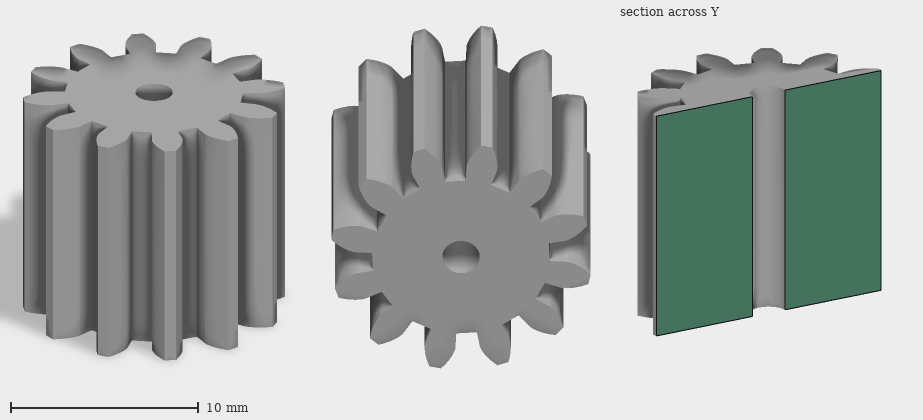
import cadquery as cq
import math

tooth_count = 12
pressure_angle = math.radians(20)
overall_width = 13.99
face_width = 12.5
bore_diameter = 2.0
addendum_factor = 1.0
dedendum_factor = 1.25
flank_segments = 8


def involute(angle):
    """Polar angle swept by an involute from its base circle up to a pressure angle."""
    return math.tan(angle) - angle


def polar_point(radius, angle):
    """Point at a given radius and angle from the +X axis."""
    return (radius * math.cos(angle), radius * math.sin(angle))


base_to_pitch = math.cos(pressure_angle)
tip_to_pitch = 1 + 2 * addendum_factor / tooth_count
tip_pressure_angle = math.acos(base_to_pitch / tip_to_pitch)
base_half_angle = math.pi / (2 * tooth_count) + involute(pressure_angle)
tip_half_angle = base_half_angle - involute(tip_pressure_angle)

tip_radius = overall_width / 2 / math.cos(tip_half_angle)
pitch_radius = tip_radius / tip_to_pitch
module = 2 * pitch_radius / tooth_count
base_radius = pitch_radius * base_to_pitch
root_radius = pitch_radius - dedendum_factor * module


def flank_points(centre_angle, side):
    """Involute points from base circle to tip; side is -1 or +1 of the centre line."""
    points = []
    for step in range(flank_segments + 1):
        local_pressure_angle = tip_pressure_angle * step / flank_segments
        radius = base_radius / math.cos(local_pressure_angle)
        offset = base_half_angle - involute(local_pressure_angle)
        points.append(polar_point(radius, centre_angle + side * offset))
    return points


def gear_outline():
    """Radial lower flanks, involute upper flanks, flat tips and flat tooth gaps."""
    outline = cq.Workplane("XY").moveTo(*polar_point(root_radius, -base_half_angle))
    for tooth in range(tooth_count):
        centre_angle = 2 * math.pi * tooth / tooth_count
        next_centre_angle = 2 * math.pi * (tooth + 1) / tooth_count
        rising = flank_points(centre_angle, -1)
        falling = flank_points(centre_angle, 1)[::-1]

        outline = outline.lineTo(*rising[0])
        outline = outline.spline(rising[1:], includeCurrent=True)
        outline = outline.lineTo(*falling[0])
        outline = outline.spline(falling[1:], includeCurrent=True)
        outline = outline.lineTo(*polar_point(root_radius, centre_angle + base_half_angle))
        if tooth < tooth_count - 1:
            outline = outline.lineTo(*polar_point(root_radius, next_centre_angle - base_half_angle))
    return outline.close()


gear_body = gear_outline().extrude(face_width)
bore = cq.Workplane("XY").circle(bore_diameter / 2).extrude(face_width)
result = gear_body.cut(bore)